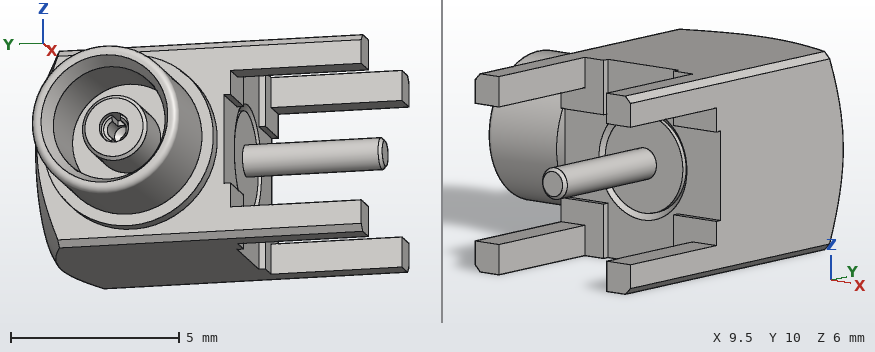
import cadquery as cq
import math


body_width = 6.0
half_width = body_width / 2
overall_length = 10.0
back_y = half_width
leg_tip_y = back_y - overall_length
corner_chamfer = 0.2

recessed_face_y = -2.8
pad_height = 0.2
pad_face_y = recessed_face_y - pad_height
pad_size = 1.65
leg_size = 0.92

back_cone_radius = 2.86
back_cone_angle = 30.0

pin_radius = 0.48
pin_chamfer = 0.1
groove_radius = 1.7
plug_radius = 1.5
groove_depth = groove_radius - plug_radius
plug_setback = 0.05

socket_end_x = -6.5
flange_radius = 2.6
flange_thickness = 0.5
barrel_radius = 2.25
barrel_rounding = 0.2
mouth_radius = 1.94
bore_radius = 1.71
mouth_taper_depth = 0.6
bore_floor_x = -half_width - flange_thickness

insulator_radius = 0.99
insulator_chamfer = 0.1
insulator_end_x = socket_end_x + 1.2

contact_radius = 0.45
contact_face_x = insulator_end_x + 0.25
contact_mouth_radius = 0.38
contact_bore_radius = 0.29
contact_bore_depth = 1.0
contact_tip_depth = 0.17
contact_slot_width = 0.26
contact_slot_depth = 0.8


def revolve_about_x(profile):
    """Solid of revolution from (x, radius) points."""
    return cq.Workplane("XY").polyline(profile).close().revolve(360, (0, 0, 0), (1, 0, 0))


def revolve_about_y(profile):
    """Solid of revolution from (radius, y) points."""
    return cq.Workplane("XY").polyline(profile).close().revolve(360, (0, 0, 0), (0, 1, 0))


def rod_along_x(radius, start_x, end_x):
    return cq.Workplane("YZ", origin=(start_x, 0, 0)).circle(radius).extrude(end_x - start_x)


def square_prism(size, start_y, end_y, center_x=0, center_z=0):
    length = end_y - start_y
    center = (center_x, (start_y + end_y) / 2, center_z)
    return cq.Workplane("XY").box(size, length, size).translate(center)


def make_body():
    body = square_prism(body_width, recessed_face_y, back_y)
    for side_x in (-1, 1):
        for side_z in (-1, 1):
            for size, end_y in ((pad_size, pad_face_y), (leg_size, leg_tip_y)):
                offset = half_width - size / 2
                prism = square_prism(size, end_y, recessed_face_y, side_x * offset, side_z * offset)
                body = body.union(prism)

    envelope = square_prism(body_width, leg_tip_y, back_y).edges("|Y").chamfer(corner_chamfer)
    return body.intersect(envelope).intersect(make_back_cone())


def make_back_cone():
    outer_radius = body_width
    cone_drop = (outer_radius - back_cone_radius) * math.tan(math.radians(back_cone_angle))
    return revolve_about_y([
        (0, leg_tip_y),
        (outer_radius, leg_tip_y),
        (outer_radius, back_y - cone_drop),
        (back_cone_radius, back_y),
        (0, back_y),
    ])


def make_plug_groove():
    """V-shaped ring with a 45-degree outer wall, around a plug set slightly back."""
    plug_face_y = recessed_face_y + plug_setback
    return revolve_about_y([
        (0, recessed_face_y),
        (groove_radius, recessed_face_y),
        (plug_radius, recessed_face_y + groove_depth),
        (plug_radius, plug_face_y),
        (0, plug_face_y),
    ])


def make_pin():
    length = recessed_face_y + plug_setback - leg_tip_y
    pin = cq.Workplane("XZ", origin=(0, leg_tip_y, 0)).circle(pin_radius).extrude(-length)
    return pin.faces("<Y").chamfer(pin_chamfer)


def make_barrel():
    flange = rod_along_x(flange_radius, bore_floor_x, -half_width)
    barrel = rod_along_x(barrel_radius, socket_end_x, -half_width)
    barrel = barrel.faces("<X").edges().fillet(barrel_rounding)
    taper_end_x = socket_end_x + mouth_taper_depth
    bore = revolve_about_x([
        (socket_end_x, 0),
        (socket_end_x, mouth_radius),
        (taper_end_x, bore_radius),
        (bore_floor_x, bore_radius),
        (bore_floor_x, 0),
    ])
    return flange.union(barrel).cut(bore)


def make_insulator():
    insulator = rod_along_x(insulator_radius, insulator_end_x, -half_width)
    return insulator.faces("<X").chamfer(insulator_chamfer)


def make_contact_hollow():
    """Space in front of the contact, its countersunk bore and its cross slot."""
    countersink_depth = contact_mouth_radius - contact_bore_radius
    bore_end_x = contact_face_x + contact_bore_depth
    bore = revolve_about_x([
        (insulator_end_x, 0),
        (insulator_end_x, contact_radius),
        (contact_face_x, contact_radius),
        (contact_face_x, contact_mouth_radius),
        (contact_face_x + countersink_depth, contact_bore_radius),
        (bore_end_x, contact_bore_radius),
        (bore_end_x + contact_tip_depth, 0),
    ])
    slot = (
        cq.Workplane("YZ", origin=(contact_face_x, 0, 0))
        .rect(contact_slot_width, 2 * contact_radius)
        .extrude(contact_slot_depth)
    )
    slot_limit = rod_along_x(contact_radius, contact_face_x, contact_face_x + contact_slot_depth)
    return bore.union(slot.intersect(slot_limit))


result = (
    make_body()
    .cut(make_plug_groove())
    .union(make_pin())
    .union(make_barrel())
    .union(make_insulator())
    .cut(make_contact_hollow())
)